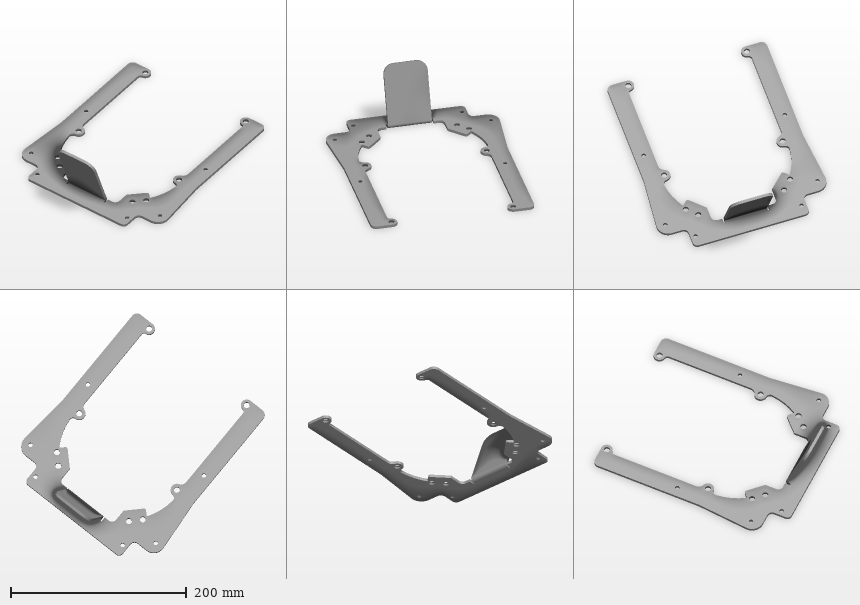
import cadquery as cq
import math


total_length = 237.6
total_height = 71.5
thickness = 3.3

tab_half_width = 25.7
tab_lean = math.radians(20)
tab_corner_radius = 12.1
bend_inner_radius = 0.5
relief_width = 2.0
relief_depth = 6.2

crossbar_depth = 25.2
crossbar_half_width = 69.6
heel_half_width = 103.0
heel_radius = 13.3
arm_outer = 95.8
arm_inner = 74.0
gusset_inner = 39.2
gusset_shoulder_y = 44.7
gusset_peak_x = 57.3
gusset_peak_y = gusset_shoulder_y + gusset_peak_x - gusset_inner
corner_radius = 5.2
inside_corner_radius = 6.0
arm_end_radius = 6.7
gusset_peak_radius = 2.4
notch_radius = 1.0

clearance_radius = 75.8
clearance_y = 96.5

lobe_x = 71.3
end_lobe_radius = 6.7
middle_lobe_radius = 7.1
middle_lobe_y = 101.7
middle_lobe_blend = 7.1
end_lobe_blend = 3.8
clearance_blend = 5.0

large_hole_diameter = 7.0
small_hole_diameter = 5.0
gusset_holes = [(62.7, 50.4), (51.5, 39.0)]
small_holes = [(91.5, 38.3), (63.7, 12.8), (84.8, 134.0)]

bend_outer_radius = bend_inner_radius + thickness
bend_axis_y = crossbar_depth - bend_outer_radius
bend_axis_z = bend_outer_radius


def bend_point(radius, angle):
    """(Y, Z) point on the bend, at an angle measured up from the +Y direction."""
    return bend_axis_y + radius * math.cos(angle), bend_axis_z + radius * math.sin(angle)


bend_back_y, bend_back_z = bend_point(bend_outer_radius, tab_lean)
tip_back_y = bend_back_y - (total_height - bend_back_z) * math.tan(tab_lean)
tip_front_y = tip_back_y - thickness * math.cos(tab_lean)
tip_front_z = total_height - thickness * math.sin(tab_lean)

plate_length = total_length + tip_front_y
relief_y = crossbar_depth - relief_depth
end_lobe_y = plate_length - end_lobe_radius
lobe_holes = [(lobe_x, middle_lobe_y), (lobe_x, end_lobe_y)]


def clearance_x(y):
    """Half-width of the round clearance at a given Y."""
    return math.sqrt(clearance_radius**2 - (y - clearance_y) ** 2)


def notch_point():
    """Where the 45 degree back of the gusset meets the round clearance."""
    line_sum = gusset_peak_x + gusset_peak_y - clearance_y
    drop = (math.sqrt(2 * clearance_radius**2 - line_sum**2) - line_sum) / 2
    return line_sum + drop, clearance_y - drop


def left(points):
    """Place (distance from symmetry plane, Y) points on the -X side."""
    return [(-x, y) for x, y in points]


def round_corner(body, x, y, radius):
    """Round the upright plate edge nearest to a point of the left half."""
    corner = cq.NearestToPointSelector((-x, y, thickness / 2))
    return body.edges("|Z").edges(corner).fillet(radius)


def half_outline():
    notch_x, notch_y = notch_point()
    arc_middle_y = (middle_lobe_y + notch_y) / 2
    arc_points = left([(clearance_x(arc_middle_y), arc_middle_y), (notch_x, notch_y)])
    outer_points = [
        (0, 0),
        (crossbar_half_width, 0),
        (crossbar_half_width, crossbar_depth),
        (heel_half_width, crossbar_depth),
        (arm_outer, middle_lobe_y),
        (arm_outer, plate_length),
        (lobe_x, plate_length),
        (lobe_x, end_lobe_y),
        (arm_inner, end_lobe_y),
        (arm_inner, middle_lobe_y),
        (clearance_x(middle_lobe_y), middle_lobe_y),
    ]
    gusset_points = [
        (gusset_peak_x, gusset_peak_y),
        (gusset_inner, gusset_shoulder_y),
        (gusset_inner, crossbar_depth),
        (0, crossbar_depth),
    ]
    outline = cq.Workplane("XY").polyline(left(outer_points)).threePointArc(*arc_points)
    for point in left(gusset_points):
        outline = outline.lineTo(*point)
    return outline.close()


def lobe(y, radius):
    return cq.Workplane("XY").center(-lobe_x, y).circle(radius).extrude(thickness)


def lobe_reach(radius):
    """Distance along Y from a lobe centre to where its rim crosses the inner edge of the arm."""
    return math.sqrt(radius**2 - (arm_inner - lobe_x) ** 2)


def drill(body, centres, diameter):
    drills = cq.Workplane("XY").pushPoints(left(centres)).circle(diameter / 2).extrude(thickness)
    return body.cut(drills)


def half_plate():
    body = half_outline().extrude(thickness)
    body = body.union(lobe(middle_lobe_y, middle_lobe_radius))
    body = body.union(lobe(end_lobe_y, end_lobe_radius))

    corners = [
        (crossbar_half_width, 0, corner_radius),
        (crossbar_half_width, crossbar_depth, inside_corner_radius),
        (heel_half_width, crossbar_depth, heel_radius),
        (arm_outer, plate_length, arm_end_radius),
        (arm_inner, end_lobe_y - lobe_reach(end_lobe_radius), end_lobe_blend),
        (arm_inner, middle_lobe_y + lobe_reach(middle_lobe_radius), middle_lobe_blend),
        (clearance_radius, middle_lobe_y - middle_lobe_radius, clearance_blend),
        (*notch_point(), notch_radius),
        (gusset_peak_x, gusset_peak_y, gusset_peak_radius),
        (gusset_inner, crossbar_depth, inside_corner_radius),
    ]
    for x, y, radius in corners:
        body = round_corner(body, x, y, radius)

    relief_half_width = tab_half_width + relief_width
    relief = cq.Workplane("XY").box(relief_half_width, relief_depth, thickness, centered=False)
    body = body.cut(relief.translate((-relief_half_width, relief_y, 0)))

    body = drill(body, lobe_holes + gusset_holes, large_hole_diameter)
    return drill(body, small_holes, small_hole_diameter)


def leaning_tab():
    """Flat root, bend and tab as one sheet, extruded along X."""
    bend_middle = (tab_lean - math.pi / 2) / 2
    sheet = (
        cq.Workplane("YZ")
        .moveTo(relief_y, 0)
        .lineTo(bend_axis_y, 0)
        .threePointArc(bend_point(bend_outer_radius, bend_middle), (bend_back_y, bend_back_z))
        .lineTo(tip_back_y, total_height)
        .lineTo(tip_front_y, tip_front_z)
        .lineTo(*bend_point(bend_inner_radius, tab_lean))
        .threePointArc(bend_point(bend_inner_radius, bend_middle), (bend_axis_y, thickness))
        .lineTo(relief_y, thickness)
        .close()
    )
    tab = sheet.extrude(tab_half_width, both=True)
    tip_corners = tab.faces(">Z").edges("not |X")
    return tip_corners.fillet(tab_corner_radius)


left_half = half_plate()
plate = left_half.union(left_half.mirror("YZ"))
result = plate.union(leaning_tab())